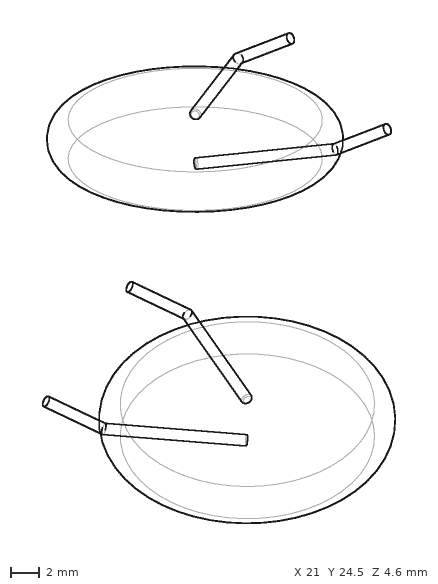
import cadquery as cq

disc_diameter = 21.0
disc_thickness = 3.0
rim_radius = disc_thickness / 2
flat_radius = disc_diameter / 2 - rim_radius

wire_diameter = 0.8
lead_offset = 5.0
bend_y = 8.92
lead_end_y = 24.5 - disc_diameter / 2
end_round = 0.1
wire_height = (disc_thickness + wire_diameter) / 2


def make_disc():
    """Revolve a half profile whose outer edge is a semicircle."""
    return (
        cq.Workplane("XZ")
        .moveTo(0, -rim_radius)
        .lineTo(flat_radius, -rim_radius)
        .threePointArc((disc_diameter / 2, 0), (flat_radius, rim_radius))
        .lineTo(0, rim_radius)
        .close()
        .revolve(360, (0, 0), (0, 1))
    )


def make_lead(side):
    """Sweep a wire from the disc centre to a mitred bend, then along +Y.

    side is 1 for the upper face (leg at -X) and -1 for the lower face (leg at +X).
    """
    bend_x = -side * lead_offset
    height = side * wire_height
    start = cq.Vector(0, 0, height)
    bend = cq.Vector(bend_x, bend_y, height)
    end = cq.Vector(bend_x, lead_end_y, height)
    path = cq.Workplane("XY").newObject([cq.Wire.makePolygon([start, bend, end])])
    section = cq.Plane(origin=start, xDir=(0, 0, 1), normal=bend - start)
    wire = (
        cq.Workplane(section)
        .circle(wire_diameter / 2)
        .sweep(path, transition="right")
    )
    return wire.faces(cq.selectors.NearestToPointSelector(start.toTuple())).edges().fillet(end_round)


disc = make_disc()
leads = [make_lead(side) for side in (1, -1)]

result = cq.Compound.makeCompound([disc.val(), *[lead.val() for lead in leads]])